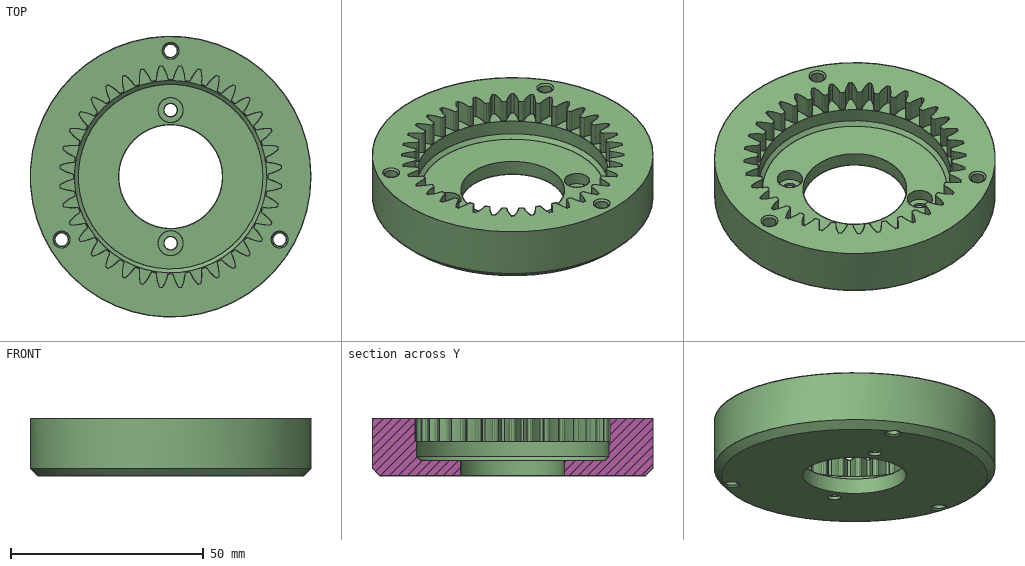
import cadquery as cq
import math

body_diameter = 73.0
body_height = 15.0
rim_chamfer = 2.0

gear_depth = 6.0
recess_diameter = 50.0
recess_depth = 10.95
recess_corner_chamfer = 1.0
bore_diameter = 26.95

tooth_count = 36
pitch_diameter = 54.0
pressure_angle = math.radians(20)
module = pitch_diameter / tooth_count
root_depth = 1.25 * module
crest_radius = 25.25
root_radius = pitch_diameter / 2 + root_depth
base_radius = pitch_diameter / 2 * math.cos(pressure_angle)
crest_fillet = 0.45
flank_points = 6

hole_diameter = 3.4
rim_hole_count = 3
rim_hole_radius = 32.7
rim_hole_mouth_diameter = 4.4
floor_hole_count = 2
floor_hole_radius = 17.3
counterbore_diameter = 6.5
counterbore_depth = 3.15

floor_height = body_height - recess_depth
first_hole_angle = 90


def involute(angle):
    return math.tan(angle) - angle


def space_half_angle(radius):
    """Half the angular width of a tooth space at the given radius."""
    roll_angle = math.acos(base_radius / radius)
    return math.pi / (2 * tooth_count) + involute(pressure_angle) - involute(roll_angle)


def polar(radius, angle):
    return (radius * math.cos(angle), radius * math.sin(angle))


def mirrored(point):
    return (point[0], -point[1])


def rotated(point, angle):
    return polar(math.hypot(*point), math.atan2(point[1], point[0]) + angle)


def make_body():
    body = cq.Workplane("XY").circle(body_diameter / 2).extrude(body_height)
    return body.faces("<Z").edges().chamfer(rim_chamfer)


def make_recess():
    """Plain recess below the teeth, with a bevelled bottom corner."""
    recess = (
        cq.Workplane("XY", origin=(0, 0, floor_height))
        .circle(recess_diameter / 2)
        .extrude(recess_depth - gear_depth)
    )
    return recess.faces("<Z").edges().chamfer(recess_corner_chamfer)


def cut_gear(body):
    """Toothed opening: tooth spaces joined by rounded tooth crests, in one closed outline."""
    pitch_angle = 2 * math.pi / tooth_count
    flank_start_radius = crest_radius + crest_fillet
    radius_step = (root_radius - flank_start_radius) / (flank_points - 1)
    flank_radii = [flank_start_radius + i * radius_step for i in range(flank_points)]

    fillet_angle = space_half_angle(flank_start_radius) + crest_fillet / flank_start_radius
    fillet_center = polar(flank_start_radius, fillet_angle)
    toward_middle = polar(crest_fillet, fillet_angle - math.radians(135))
    fillet_middle = (fillet_center[0] + toward_middle[0], fillet_center[1] + toward_middle[1])

    outline = cq.Workplane("XY", origin=(0, 0, body_height - gear_depth))
    outline = outline.moveTo(*polar(crest_radius, pitch_angle / 2 - fillet_angle))
    for i in range(tooth_count):
        center_angle = (i + 0.5) * pitch_angle
        lower_flank = [polar(r, center_angle - space_half_angle(r)) for r in flank_radii]
        upper_flank = [polar(r, center_angle + space_half_angle(r)) for r in flank_radii]
        crest_middle = polar(crest_radius, center_angle + pitch_angle / 2)
        next_fillet_start = polar(crest_radius, center_angle + pitch_angle - fillet_angle)
        outline = (
            outline.threePointArc(rotated(mirrored(fillet_middle), center_angle), lower_flank[0])
            .spline(lower_flank[1:], includeCurrent=True)
            .threePointArc(polar(root_radius, center_angle), upper_flank[-1])
            .spline(upper_flank[-2::-1], includeCurrent=True)
            .threePointArc(
                rotated(fillet_middle, center_angle),
                polar(crest_radius, center_angle + fillet_angle),
            )
            .threePointArc(crest_middle, next_fillet_start)
        )
    return body.cut(outline.close().extrude(gear_depth))


def cut_rim_holes(body):
    """Through holes near the rim, chamfered at both mouths."""
    mouth_chamfer = (rim_hole_mouth_diameter - hole_diameter) / 2
    half_profile = [
        (0, 0),
        (rim_hole_mouth_diameter / 2, 0),
        (hole_diameter / 2, mouth_chamfer),
        (hole_diameter / 2, body_height - mouth_chamfer),
        (rim_hole_mouth_diameter / 2, body_height),
        (0, body_height),
    ]
    hole = cq.Workplane("XZ").polyline(half_profile).close().revolve(360, (0, 0, 0), (0, 1, 0))
    for i in range(rim_hole_count):
        angle = math.radians(first_hole_angle + i * 360 / rim_hole_count)
        body = body.cut(hole.translate((*polar(rim_hole_radius, angle), 0)))
    return body


def cut_floor_holes(body):
    """Central bore and the counterbored screw holes beside it."""
    floor = cq.Workplane("XY", origin=(0, 0, floor_height))
    body = body.cut(floor.circle(bore_diameter / 2).extrude(-floor_height))
    centers = floor.polarArray(floor_hole_radius, first_hole_angle, 360, floor_hole_count)
    body = body.cut(centers.circle(hole_diameter / 2).extrude(-floor_height))
    return body.cut(centers.circle(counterbore_diameter / 2).extrude(-counterbore_depth))


ring = make_body()
ring = ring.cut(make_recess())
ring = cut_gear(ring)
ring = cut_rim_holes(ring)
result = cut_floor_holes(ring)